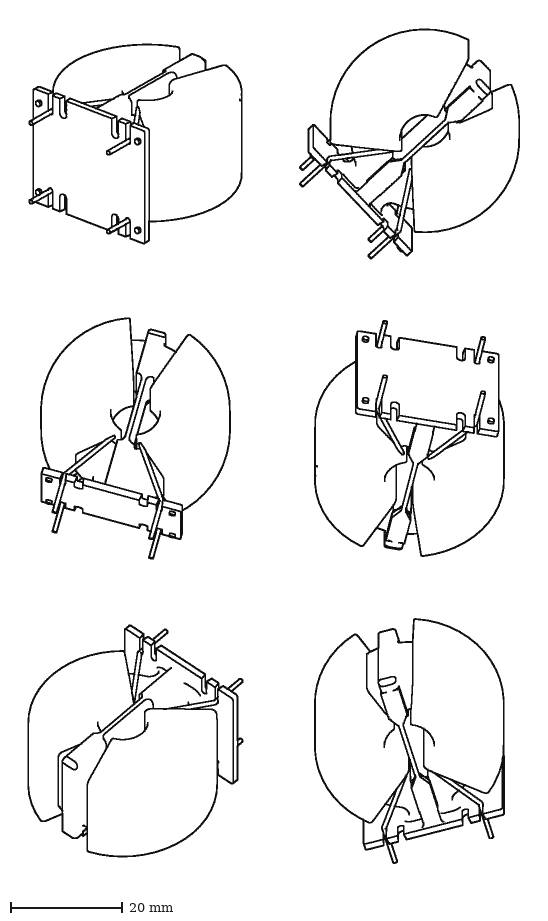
import cadquery as cq
import math


coil_diameter = 34.0
coil_radius = coil_diameter / 2
coil_bore_radius = 4.5
coil_height = 19.0
coil_edge_radius = 1.18
coil_end_radius = 0.3
upper_end_angle = 71.1
lower_end_angle = -40.7
lower_end_start = (0.7, -4.0)

core_radius = 13.3
core_bore_radius = 6.75
core_height = 14.75
core_edge_radius = 0.87

post_width = 3.25
post_inner_y = 6.4
post_outer_y = 14.95
post_top_z = 10.1
post_bottom_z = -10.35
post_edge_radius = 1.0
post_corner_radius = 0.57
post_end_chamfer = 1.0
divider_width = 0.8
divider_fillet = 1.03
base_fillet = 0.45

strap_width = 3.42
strap_taper_start_y = 5.45
strap_taper_end_y = 7.35
strap_end_y = 12.65
strap_top_z = -9.12

plate_width = 26.0
plate_height = 23.0
plate_thickness = 1.2
plate_back_y = -15.28
plate_front_y = plate_back_y - plate_thickness
plate_corner_radius = 0.5

neck_half_width = 4.1
neck_waist_y = -13.9
neck_foot_radius = 1.4

slot_taper = 9.0
wide_slot_x = 6.05
wide_slot_width = 1.52
wide_slot_depth = 3.72
wire_slot_width = 1.03

lead_x = 9.0
lead_z = 8.0
lead_diameter = 0.8
lead_radius = lead_diameter / 2
lead_tip_y = -22.0
lead_bend_y = -14.82
lead_inner_end = (2.47, -5.5)

peg_x = 11.5
peg_z = 9.05
peg_radius = 0.55
peg_height = 0.5

selection_margin = 0.05


def plain_ring(outer_radius, bore_radius, height):
    """Sharp-edged ring around Z, centred on the origin."""
    return cq.Workplane("XY").circle(outer_radius).circle(bore_radius).extrude(height / 2, both=True)


def box_between(x_range, y_range, z_range):
    """Box given by its limits along each axis."""
    size = [limits[1] - limits[0] for limits in (x_range, y_range, z_range)]
    corner = cq.Vector(x_range[0], y_range[0], z_range[0])
    return cq.Workplane("XY").box(*size, centered=False).translate(corner)


def both_sides(shape):
    """The shape together with its mirror image across the YZ plane."""
    return shape.union(shape.mirror("YZ"))


def winding():
    """The +X winding."""
    reach = 2 * coil_radius
    upper = math.radians(upper_end_angle)
    lower = math.radians(lower_end_angle)
    start_x, start_y = lower_end_start
    sector = (
        cq.Workplane("XY")
        .moveTo(0, 0)
        .lineTo(reach * math.cos(upper), reach * math.sin(upper))
        .lineTo(reach, 0)
        .lineTo(start_x + reach * math.cos(lower), start_y + reach * math.sin(lower))
        .lineTo(start_x, start_y)
        .close()
        .extrude(coil_height, both=True)
    )
    coil = plain_ring(coil_radius, coil_bore_radius, coil_height)
    coil = coil.edges("%CIRCLE").fillet(coil_edge_radius).intersect(sector)
    upper_normal = cq.Vector(-math.sin(upper), math.cos(upper), 0)
    lower_normal = cq.Vector(math.sin(lower), -math.cos(lower), 0)
    for normal in (upper_normal, lower_normal):
        end_face = cq.selectors.DirectionMinMaxSelector(normal, True)
        coil = coil.faces(end_face).edges().fillet(coil_end_radius)
    return coil


def rounded_post(y_start, y_end):
    """Full-height post with its four long edges rounded."""
    post = box_between((-post_width / 2, post_width / 2), (y_start, y_end), (post_bottom_z, post_top_z))
    return post.edges("|Y").fillet(post_edge_radius)


def post_outline(z, end_y, corner_radius):
    """Outline of the upper post at height z, with the two corners of its free end rounded."""
    half = post_width / 2
    return (
        cq.Workplane("XY", origin=(0, 0, z))
        .moveTo(-half, post_inner_y)
        .lineTo(half, post_inner_y)
        .lineTo(half, end_y - corner_radius)
        .radiusArc((half - corner_radius, end_y), -corner_radius)
        .lineTo(corner_radius - half, end_y)
        .radiusArc((-half, end_y - corner_radius), -corner_radius)
        .close()
    )


def upper_post():
    """Post above the bore; its free end is chamfered at the top and the bottom."""
    middle_top_z = post_top_z - post_end_chamfer
    middle_bottom_z = post_bottom_z + post_end_chamfer
    envelope = post_outline(middle_bottom_z, post_outer_y, post_corner_radius).extrude(
        middle_top_z - middle_bottom_z
    )
    for inner_z, outer_z in ((middle_top_z, post_top_z), (middle_bottom_z, post_bottom_z)):
        wide = post_outline(inner_z, post_outer_y, post_corner_radius)
        narrow = post_outline(outer_z, post_outer_y - post_end_chamfer, post_edge_radius)
        tip = cq.Solid.makeLoft([wide.val(), narrow.val()], True)
        envelope = envelope.union(cq.Workplane(tip))
    return rounded_post(post_inner_y, post_outer_y).intersect(envelope)


def lower_post():
    """Post between the bore and the plate: rounded on top, square below."""
    lower_half = box_between(
        (-post_width / 2, post_width / 2), (plate_back_y, -post_inner_y), (post_bottom_z, 0)
    )
    return rounded_post(plate_back_y, -post_inner_y).union(lower_half)


def divider():
    """Thin wall across the bore, with concave blends into the rounded posts."""
    half = divider_width / 2
    flare = half + divider_fillet
    straight_y = post_inner_y - divider_fillet
    right_side = (
        cq.Workplane("XY", origin=(0, 0, strap_top_z))
        .moveTo(0, -post_inner_y)
        .lineTo(flare, -post_inner_y)
        .radiusArc((half, -straight_y), divider_fillet)
        .lineTo(half, straight_y)
        .radiusArc((flare, post_inner_y), divider_fillet)
        .lineTo(0, post_inner_y)
        .close()
        .extrude(post_top_z - strap_top_z)
    )
    wall = box_between((-half, half), (-post_inner_y, post_inner_y), (post_bottom_z, post_top_z))
    blends = both_sides(right_side).intersect(rounded_post(-post_outer_y, post_outer_y))
    return blends.union(wall)


def strap():
    """Flat strap under the upper post that tapers to the divider."""
    right_side = (
        cq.Workplane("XY", origin=(0, 0, post_bottom_z))
        .moveTo(0, strap_taper_start_y)
        .lineTo(divider_width / 2, strap_taper_start_y)
        .lineTo(strap_width / 2, strap_taper_end_y)
        .lineTo(strap_width / 2, strap_end_y)
        .lineTo(0, strap_end_y)
        .close()
        .extrude(strap_top_z - post_bottom_z)
    )
    return both_sides(right_side)


def neck():
    """+X half of the waisted neck from the core to the plate."""
    waist_gap = neck_half_width**2 + neck_waist_y**2 - core_radius**2
    waist_radius = waist_gap / (2 * (core_radius - neck_half_width))
    touch_scale = core_radius / (core_radius + waist_radius)
    touch_x = (neck_half_width + waist_radius) * touch_scale
    touch_y = neck_waist_y * touch_scale
    foot_drop = neck_waist_y - plate_back_y
    foot_x = neck_half_width + neck_foot_radius - math.sqrt(neck_foot_radius**2 - foot_drop**2)
    root_y = -core_bore_radius - core_edge_radius
    return (
        cq.Workplane("XY")
        .moveTo(0, root_y)
        .lineTo(touch_x, root_y)
        .lineTo(touch_x, touch_y)
        .radiusArc((neck_half_width, neck_waist_y), -waist_radius)
        .radiusArc((foot_x, plate_back_y), -neck_foot_radius)
        .lineTo(0, plate_back_y)
        .close()
        .extrude(core_height / 2, both=True)
    )


def fillet_post_seam(body, side):
    """Blend a post into the core; side is +1 for the upper post and -1 for the lower one."""
    seam_start = side * (core_bore_radius + selection_margin)
    seam_end = side * core_radius
    seam_top = core_height / 2 + selection_margin
    for x in (-post_width / 2, post_width / 2):
        seam = cq.selectors.BoxSelector(
            (x - selection_margin, seam_start, -seam_top),
            (x + selection_margin, seam_end, seam_top),
        )
        body = body.edges(seam).fillet(base_fillet)
    return body


def bobbin():
    """Core with its neck, blended into the two posts."""
    body = plain_ring(core_radius, core_bore_radius, core_height)
    body = body.union(both_sides(neck())).faces("|Z").edges("%CIRCLE").fillet(core_edge_radius)
    body = body.union(upper_post()).union(lower_post())
    for side in (1, -1):
        body = fillet_post_seam(body, side)
    return body


def slot(x, width, end_z):
    """Cutter for a slot at the +Z edge, full width at the outer face and narrower towards the core."""
    rim_z = plate_height / 2 + width
    centre_z = end_z + width / 2
    return (
        cq.Workplane("XZ", origin=(x, plate_front_y, 0))
        .moveTo(-width / 2, rim_z)
        .lineTo(-width / 2, centre_z)
        .threePointArc((0, end_z), (width / 2, centre_z))
        .lineTo(width / 2, rim_z)
        .close()
        .extrude(-plate_thickness, taper=slot_taper)
    )


def mounting_plate():
    """Plate with eight edge slots and four stand-off pegs."""
    body = (
        cq.Workplane("XZ", origin=(0, plate_front_y, 0))
        .rect(plate_width, plate_height)
        .extrude(-plate_thickness)
        .edges("|Y")
        .fillet(plate_corner_radius)
    )
    wide_cut = slot(wide_slot_x, wide_slot_width, plate_height / 2 - wide_slot_depth)
    wire_cut = slot(lead_x, wire_slot_width, lead_z - wire_slot_width / 2)
    for cut in (wide_cut, wire_cut):
        pair = both_sides(cut)
        body = body.cut(pair).cut(pair.mirror("XY"))
    pegs = (
        cq.Workplane("XZ", origin=(0, plate_front_y, 0))
        .rect(2 * peg_x, 2 * peg_z, forConstruction=True)
        .vertices()
        .circle(peg_radius)
        .extrude(peg_height)
    )
    return body.union(pegs)


def lead(z):
    """Wire on the +X side at height z: straight through the plate, then slanting into the winding."""
    bend = cq.Vector(lead_x, lead_bend_y, z)
    slant = cq.Vector(lead_inner_end[0], lead_inner_end[1], z) - bend
    tip = cq.Vector(lead_x, lead_tip_y, z)
    pin = cq.Solid.makeCylinder(lead_radius, lead_bend_y - lead_tip_y, tip, cq.Vector(0, 1, 0))
    slanted = cq.Solid.makeCylinder(lead_radius, slant.Length, bend, slant)
    elbow = cq.Workplane("XY").sphere(lead_radius).translate(bend)
    return elbow.union(cq.Workplane(pin)).union(cq.Workplane(slanted))


def plate_with_post():
    """Mounting plate and lower post, with the inside corner between them rounded."""
    body = mounting_plate().union(lower_post())
    seam_x = post_width / 2 + selection_margin
    seam = cq.selectors.BoxSelector(
        (-seam_x, plate_back_y - selection_margin, post_bottom_z - selection_margin),
        (seam_x, plate_back_y + selection_margin, post_top_z + selection_margin),
    )
    return body.edges(seam).fillet(base_fillet)


strap_clearance = box_between(
    (-post_width, post_width), (-strap_taper_end_y, strap_taper_end_y), (2 * post_bottom_z, strap_top_z)
)
frame = bobbin().union(plate_with_post()).cut(strap_clearance)
frame = frame.union(divider()).union(strap()).union(strap().mirror("XZ"))
right_half = winding().union(lead(lead_z)).union(lead(-lead_z))
result = frame.union(both_sides(right_half))